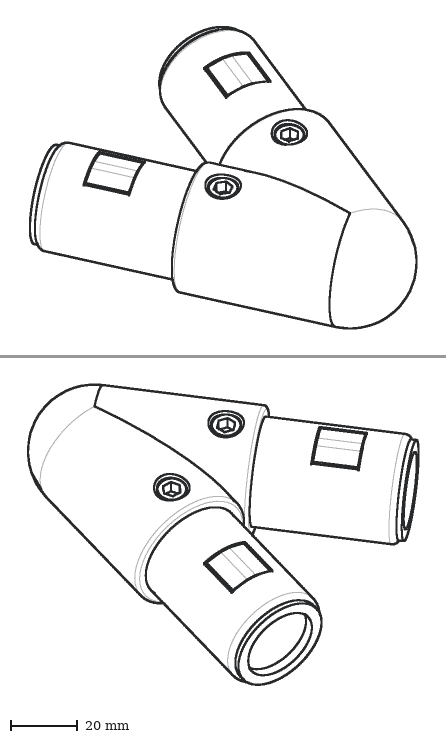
import cadquery as cq
import math


LEG_ANGLE = 45.0
ARM_DIAMETER = 40.0
ARM_RADIUS = ARM_DIAMETER / 2
ARM_LENGTH = 50.0
ARM_END_ROUND = 1.0
SOCKET_DEPTH = 20.0
SOCKET_FLOOR = ARM_LENGTH - SOCKET_DEPTH

SLEEVE_RADIUS = 16.7
SLEEVE_WALL = 1.4
SLEEVE_END = 94.5
SLEEVE_END_ROUND = 2.2

CORE_RADIUS = SLEEVE_RADIUS - SLEEVE_WALL
OVERALL_LENGTH = 116.0
CORE_END = OVERALL_LENGTH - ARM_RADIUS
RECESS_RADIUS = 11.7
RECESS_DEPTH = 3.0

WINDOW_CENTRE = 74.4
WINDOW_LENGTH = 14.4
WINDOW_WIDTH = 15.1
PAD_END_GAP = 0.3
PAD_SIDE_GAP = 0.7
PAD_FLAT_WIDTH = 3.1
PAD_CORNER_RADIUS = 16.6
PAD_LENGTH = WINDOW_LENGTH - 2 * PAD_END_GAP
PAD_WIDTH = WINDOW_WIDTH - 2 * PAD_SIDE_GAP

SCREW_CENTRE = ARM_LENGTH - SOCKET_DEPTH / 2
SCREW_RADIUS = 4.5
SCREW_TOP = 18.9
SCREW_LENGTH = 5.8
SCREW_CHAMFER = 0.2
HEX_ACROSS_FLATS = 5.0
HEX_DEPTH = 4.1
BORE_RIM_CHAMFER = 0.8
SCREW_BOTTOM = SCREW_TOP - SCREW_LENGTH


def leg_cylinder(radius, start, end):
    """Cylinder on the axis of leg 1 between two distances from the bend centre."""
    return cq.Workplane("YZ", origin=(-end, 0, 0)).circle(radius).extrude(end - start)


def leg_side_of_mitre():
    """Block on the leg 1 side of the upright plane that halves the angle between the legs."""
    size = 2 * CORE_END
    block = cq.Workplane("XY").box(size, size, size, centered=(True, False, True))
    return block.rotate((0, 0, 0), (0, 0, 1), LEG_ANGLE / 2)


def screw_cylinder(bottom, top):
    """Upright cylinder on the screw axis, the size of the screw."""
    screw_base = cq.Workplane("XY", origin=(-SCREW_CENTRE, 0, bottom))
    return screw_base.circle(SCREW_RADIUS).extrude(top - bottom)


def make_arm():
    """Half of the elbow: a socket for the sleeve and a screw bore with a chamfered rim."""
    arm = leg_cylinder(ARM_RADIUS, 0, ARM_LENGTH).faces("<X").edges().fillet(ARM_END_ROUND)
    arm = arm.cut(leg_cylinder(SLEEVE_RADIUS, SOCKET_FLOOR, ARM_LENGTH))
    arm = arm.cut(screw_cylinder(SCREW_BOTTOM, ARM_RADIUS))
    bore_rim = (-SCREW_CENTRE, 0, ARM_RADIUS)
    arm = arm.edges(cq.selectors.NearestToPointSelector(bore_rim)).chamfer(BORE_RIM_CHAMFER)
    return arm.intersect(leg_side_of_mitre())


def make_dome():
    """Sphere wedge that closes the outside of the bend between the two arm ends."""
    return (
        cq.Workplane("YZ")
        .moveTo(0, -ARM_RADIUS)
        .threePointArc((ARM_RADIUS, 0), (0, ARM_RADIUS))
        .close()
        .revolve(180 - LEG_ANGLE, (0, 1.2), (0, 0))
    )


def make_sleeve():
    """Tube with a rounded outer end, a window in its top and a hole for the screw."""
    sleeve = leg_cylinder(SLEEVE_RADIUS, SOCKET_FLOOR, SLEEVE_END)
    sleeve = sleeve.faces("<X").edges().fillet(SLEEVE_END_ROUND)
    sleeve = sleeve.cut(leg_cylinder(CORE_RADIUS, SOCKET_FLOOR, SLEEVE_END))
    window = cq.Workplane("XY", origin=(-WINDOW_CENTRE, 0, 0)).rect(WINDOW_LENGTH, WINDOW_WIDTH)
    sleeve = sleeve.cut(window.extrude(SLEEVE_RADIUS))
    sleeve = sleeve.cut(screw_cylinder(SCREW_BOTTOM, ARM_RADIUS))
    return sleeve.intersect(leg_side_of_mitre())


def make_pad():
    """Raised block with a flat top strip and a sloping facet on either side."""
    strip = PAD_FLAT_WIDTH / 2
    side = PAD_WIDTH / 2
    strip_height = math.sqrt(PAD_CORNER_RADIUS**2 - strip**2)
    side_height = math.sqrt(PAD_CORNER_RADIUS**2 - side**2)
    outline = [(-side, 0), (side, 0), (side, side_height), (strip, strip_height)]
    outline += [(-strip, strip_height), (-side, side_height)]
    pad_start = WINDOW_CENTRE + PAD_LENGTH / 2
    return cq.Workplane("YZ", origin=(-pad_start, 0, 0)).polyline(outline).close().extrude(PAD_LENGTH)


def make_core():
    """Core with its pad, a shallow round recess in its end and a seat for the screw."""
    core = leg_cylinder(CORE_RADIUS, SOCKET_FLOOR, CORE_END).union(make_pad())
    core = core.cut(leg_cylinder(RECESS_RADIUS, CORE_END - RECESS_DEPTH, CORE_END))
    core = core.cut(screw_cylinder(SCREW_BOTTOM, ARM_RADIUS))
    return core.intersect(leg_side_of_mitre())


def make_screw():
    """Headless screw with a hexagon socket; two corners of the hexagon point across the leg."""
    screw = screw_cylinder(SCREW_BOTTOM, SCREW_TOP)
    screw = screw.faces(">Z").edges().chamfer(SCREW_CHAMFER)
    across_corners = HEX_ACROSS_FLATS / math.cos(math.pi / 6)
    hexagon_floor = cq.Workplane("XY", origin=(-SCREW_CENTRE, 0, SCREW_TOP - HEX_DEPTH))
    hexagon = hexagon_floor.transformed(rotate=(0, 0, 90)).polygon(6, across_corners).extrude(HEX_DEPTH)
    return screw.cut(hexagon)


def on_leg_2(body):
    """Mirror image of a leg 1 body across the mitre plane."""
    return body.mirror("XZ").rotate((0, 0, 0), (0, 0, 1), LEG_ANGLE)


arm_1 = make_arm()
arm_2 = on_leg_2(arm_1)
domed_arm_1 = arm_1.union(make_dome())

leg_1_fittings = [make_sleeve(), make_core(), make_screw()]
leg_2_fittings = [on_leg_2(fitting) for fitting in leg_1_fittings]
bodies = [domed_arm_1, arm_2, *leg_1_fittings, *leg_2_fittings]

result = cq.Compound.makeCompound([body.val() for body in bodies])